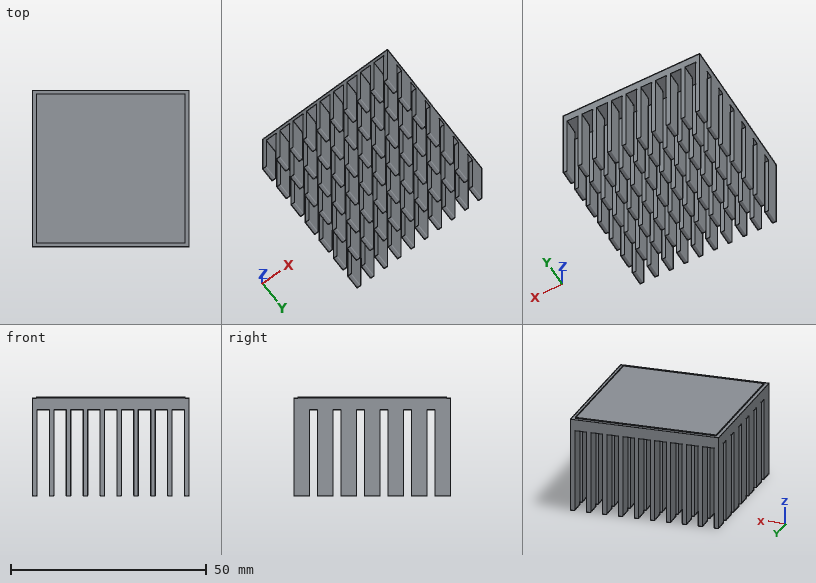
import cadquery as cq

SIDE = 40.0
SINK_HEIGHT = 25.0
BASE_THICKNESS = 3.0
FIN_COLUMNS = 10
FIN_ROWS = 7
FIN_THICKNESS = 1.2
FIN_WIDTH = 4.0
TIP_RADIUS = 0.3

PAD_MARGIN = 1.0
PAD_THICKNESS = 0.3
PAD_LAYERS = 4

fin_length = SINK_HEIGHT - BASE_THICKNESS
column_pitch = (SIDE - FIN_THICKNESS) / (FIN_COLUMNS - 1)
row_pitch = (SIDE - FIN_WIDTH) / (FIN_ROWS - 1)
pad_side = SIDE - 2 * PAD_MARGIN
layer_thickness = PAD_THICKNESS / PAD_LAYERS


def make_fin():
    """One fin centred on the Z axis, standing on Z = 0, with its two long tip edges rounded."""
    fin = cq.Workplane("XY").box(FIN_THICKNESS, FIN_WIDTH, fin_length, centered=(True, True, False))
    return fin.faces("<Z").edges("|Y").fillet(TIP_RADIUS)


def make_heat_sink():
    """Base plate and all fins as one solid, fin tips on Z = 0."""
    base = cq.Workplane("XY", origin=(0, 0, fin_length)).box(
        SIDE, SIDE, BASE_THICKNESS, centered=(True, True, False)
    )
    fin_grid = cq.Workplane("XY").rarray(column_pitch, row_pitch, FIN_COLUMNS, FIN_ROWS)
    fin = make_fin().val()
    fins = fin_grid.eachpoint(lambda place: fin.moved(place))
    return base.union(fins)


def make_pad_layer(index):
    """One sheet of the thermal pad; index 0 lies directly on the base plate."""
    bottom = SINK_HEIGHT + index * layer_thickness
    return cq.Workplane("XY", origin=(0, 0, bottom)).box(
        pad_side, pad_side, layer_thickness, centered=(True, True, False)
    )


heat_sink = make_heat_sink()
pad_layers = [make_pad_layer(index) for index in range(PAD_LAYERS)]

result = cq.Compound.makeCompound([heat_sink.solids().val(), *[layer.val() for layer in pad_layers]])